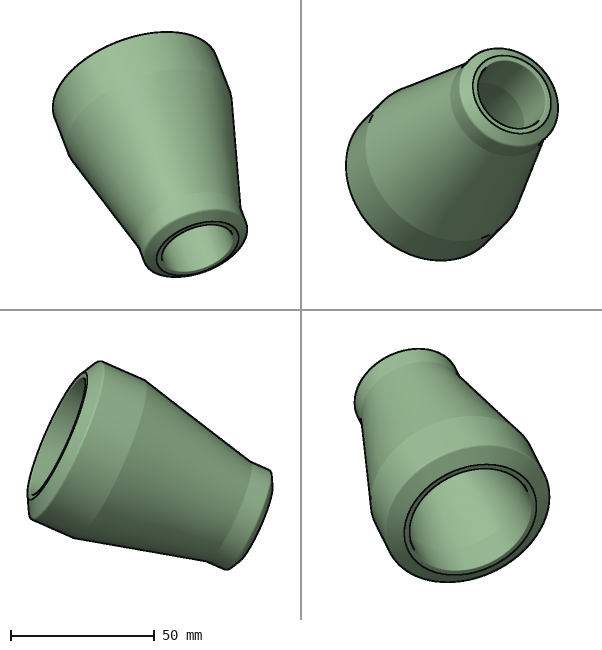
import cadquery as cq
import math

length = 76.0
large_outer_diameter = 60.3
small_outer_diameter = 38.0
large_wall = 8.0
small_wall = 6.0

large_straight = 20.0
small_straight = 10.0

bore_cone_shift = 8.0

root_face = 2.0
bevel_angle = 30.0
bevel_edge_radius = 1.0
bore_edge_radius = 0.3
cone_edge_radius = 1.0

large_outer_radius = large_outer_diameter / 2
small_outer_radius = small_outer_diameter / 2
large_bore_radius = large_outer_radius - large_wall
small_bore_radius = small_outer_radius - small_wall
cone_start = large_straight
cone_end = length - small_straight
bore_cone_start = cone_start - bore_cone_shift
bore_cone_end = cone_end - bore_cone_shift


def bevel_length(wall):
    """Axial length of a weld bevel that leaves the root face standing."""
    return (wall - root_face) * math.tan(math.radians(bevel_angle))


def make_outer_body():
    """Solid of revolution with bevelled ends, before boring."""
    profile = (
        cq.Workplane("XZ")
        .moveTo(0, 0)
        .lineTo(0, large_bore_radius + root_face)
        .lineTo(bevel_length(large_wall), large_outer_radius)
        .lineTo(cone_start, large_outer_radius)
        .lineTo(cone_end, small_outer_radius)
        .lineTo(length - bevel_length(small_wall), small_outer_radius)
        .lineTo(length, small_bore_radius + root_face)
        .lineTo(length, 0)
        .close()
    )
    return profile.revolve(360, (0, 0, 0), (1, 0, 0))


def make_bore():
    """Tapered through bore with a straight stretch at each end."""
    profile = (
        cq.Workplane("XZ")
        .moveTo(0, 0)
        .lineTo(0, large_bore_radius)
        .lineTo(bore_cone_start, large_bore_radius)
        .lineTo(bore_cone_end, small_bore_radius)
        .lineTo(length, small_bore_radius)
        .lineTo(length, 0)
        .close()
    )
    return profile.revolve(360, (0, 0, 0), (1, 0, 0))


def circle_at(x, radius):
    """Selector for the circular edge of a given radius at a given X."""
    tolerance = 0.01
    low = (x - tolerance, -radius - tolerance, -radius - tolerance)
    high = (x + tolerance, radius + tolerance, radius + tolerance)
    return cq.selectors.BoxSelector(low, high, boundingbox=True)


def round_bevel_edges(body):
    """Round the edge where each bevel meets the outside cylinder."""
    large_edge = circle_at(bevel_length(large_wall), large_outer_radius)
    small_edge = circle_at(length - bevel_length(small_wall), small_outer_radius)
    return body.edges(large_edge + small_edge).fillet(bevel_edge_radius)


def round_cone_edges(body):
    """Blend the outside cone into the straight cylinder at each end."""
    large_edge = circle_at(cone_start, large_outer_radius)
    small_edge = circle_at(cone_end, small_outer_radius)
    return body.edges(large_edge + small_edge).fillet(cone_edge_radius)


def round_bore_mouths(body):
    """Round the edge where the bore opens onto each end face."""
    large_mouth = circle_at(0, large_bore_radius)
    small_mouth = circle_at(length, small_bore_radius)
    return body.edges(large_mouth + small_mouth).fillet(bore_edge_radius)


reducer = make_outer_body().cut(make_bore())
reducer = round_bevel_edges(reducer)
reducer = round_cone_edges(reducer)
result = round_bore_mouths(reducer)